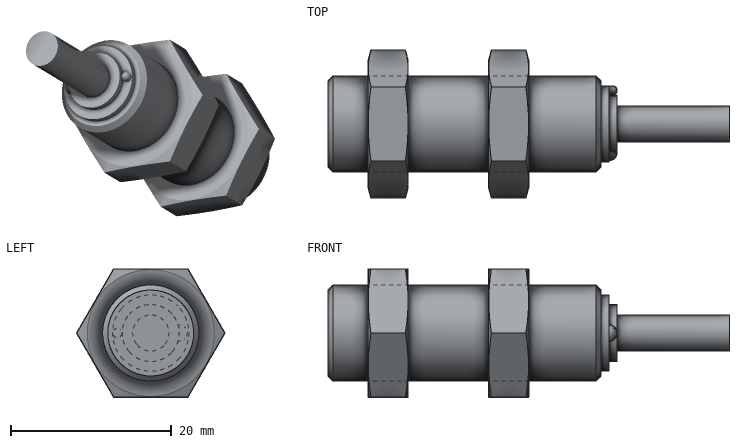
import cadquery as cq
import math

barrel_diameter = 12.0
barrel_length = 34.0
barrel_chamfer = 0.65
flange_diameter = 9.5
flange_length = 1.0
flange_end = barrel_length + flange_length
neck_diameter = 7.1
neck_length = 1.0
neck_end = flange_end + neck_length
cable_diameter = 4.5
overall_length = 50.0

lamp_diameter = 1.16
lamp_radius = lamp_diameter / 2
lamp_center_y = flange_diameter / 2 - lamp_radius
lamp_straight_length = neck_length - lamp_radius

knob_radius = neck_length
knob_center_y = -neck_diameter / 2

nut_across_flats = 16.0
nut_across_corners = nut_across_flats / math.cos(math.pi / 6)
nut_thickness = 5.0
nut_starts = [5.0, 20.0]
nut_face_diameter = 15.8
nut_chamfer_angle = 15.0


def rod(start, end, diameter):
    """Cylinder on the X axis between two X positions."""
    return cq.Workplane("YZ", origin=(start, 0, 0)).circle(diameter / 2).extrude(end - start)


def chamfered_rod(start, end, radius, face_radius, chamfer_length):
    """Cylinder on the X axis whose ends taper to face_radius over chamfer_length."""
    outline = (
        cq.Workplane("XY")
        .moveTo(start, 0)
        .lineTo(start, face_radius)
        .lineTo(start + chamfer_length, radius)
        .lineTo(end - chamfer_length, radius)
        .lineTo(end, face_radius)
        .lineTo(end, 0)
        .close()
    )
    return outline.revolve(360, (0, 0, 0), (1, 0, 0))


def make_lamp():
    """Short cylinder along X with a hemispherical nose."""
    stem = (
        cq.Workplane("YZ", origin=(flange_end, lamp_center_y, 0))
        .circle(lamp_radius)
        .extrude(lamp_straight_length)
    )
    nose_center = (flange_end + lamp_straight_length, lamp_center_y, 0)
    nose = cq.Workplane("XY", origin=nose_center).sphere(lamp_radius)
    return stem.union(nose)


def make_knob():
    """The half of a ball that stands out from the rear face of the flange."""
    ball = cq.Workplane("XY", origin=(flange_end, knob_center_y, 0)).sphere(knob_radius)
    behind_flange = rod(flange_end, neck_end, barrel_diameter)
    return ball.intersect(behind_flange)


def make_sensor():
    """Barrel, flange, neck and cable in one piece, with the lamp and knob on the neck."""
    radius = barrel_diameter / 2
    sensor = chamfered_rod(0, barrel_length, radius, radius - barrel_chamfer, barrel_chamfer)
    sensor = sensor.union(rod(barrel_length, flange_end, flange_diameter))
    sensor = sensor.union(rod(flange_end, neck_end, neck_diameter))
    sensor = sensor.union(rod(neck_end, overall_length, cable_diameter))
    return sensor.union(make_lamp()).union(make_knob())


def make_nut(start):
    """Hexagon nut with two corners in the XY plane, cone-chamfered on both faces."""
    end = start + nut_thickness
    hexagon = (
        cq.Workplane("YZ", origin=(start, 0, 0))
        .polygon(6, nut_across_corners)
        .extrude(nut_thickness)
    )
    face_radius = nut_face_diameter / 2
    corner_radius = nut_across_corners / 2
    corner_drop = (corner_radius - face_radius) * math.tan(math.radians(nut_chamfer_angle))
    corner_cones = chamfered_rod(start, end, corner_radius, face_radius, corner_drop)
    return hexagon.intersect(corner_cones).cut(rod(start, end, barrel_diameter))


sensor = make_sensor()
nuts = [make_nut(start) for start in nut_starts]

result = cq.Compound.makeCompound([sensor.val(), *[nut.val() for nut in nuts]])